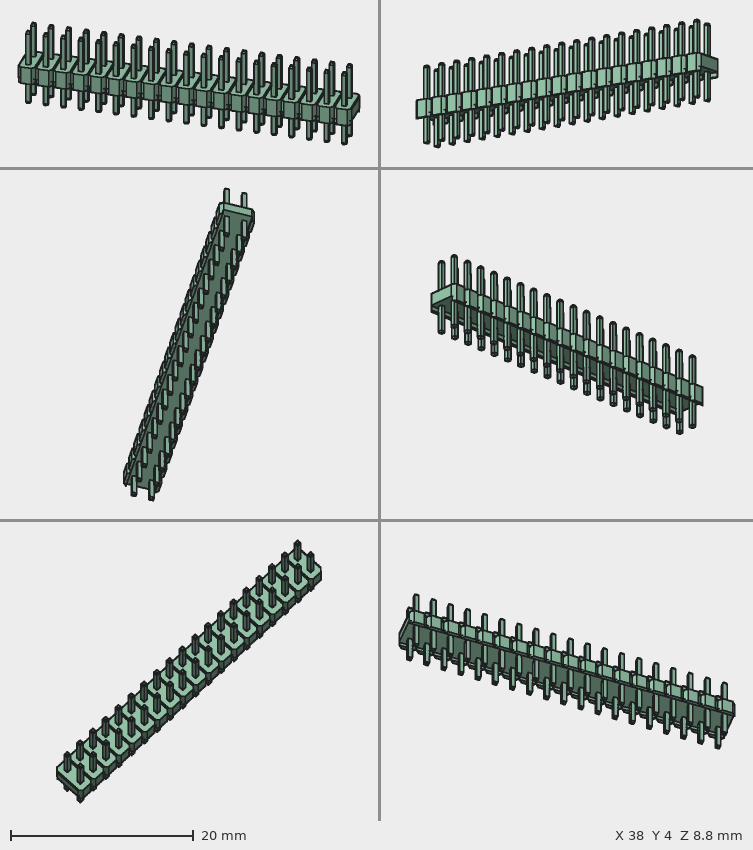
import cadquery as cq

pitch = 2.0
column_count = 19
row_count = 2

body_length = column_count * pitch
body_width = row_count * pitch
body_height = 2.0
corner_cut = 0.4
seam_cut = 0.1
skirt_thickness = 0.35
channel_depth = 0.5

pin_size = 0.5
pin_above_body = 4.0
pin_below_body = 2.8
pin_length = pin_below_body + body_height + pin_above_body
tip_inset = 0.1
tip_height = 0.25


def column_x(column):
    """X position of a pin column, with the columns centred on X = 0."""
    return (column - (column_count - 1) / 2) * pitch


def row_y(row):
    """Y position of a pin row, with the rows centred on Y = 0."""
    return (row - (row_count - 1) / 2) * pitch


def make_cell():
    """One body cell: an octagonal block with its two long top edges cut."""
    block = cq.Workplane("XY").box(pitch, body_width, body_height, centered=(True, True, False))
    block = block.edges("|Z").chamfer(corner_cut)
    return block.faces(">Z").edges("|Y").chamfer(seam_cut)


def make_body():
    """Row of joined cells with a channel along the whole underside."""
    cell = make_cell().val()
    cells = [cell.translate(cq.Vector(column_x(column), 0, 0)) for column in range(column_count)]
    body = cq.Workplane(cells[0].fuse(*cells[1:]).clean())
    channel_width = body_width - 2 * skirt_thickness
    channel = cq.Workplane("XY").box(
        body_length, channel_width, channel_depth, centered=(True, True, False)
    )
    return body.cut(channel)


def make_pin():
    """Square pin with both ends tapered to a smaller square."""
    pin = cq.Workplane("XY").workplane(offset=-pin_below_body).rect(pin_size, pin_size).extrude(pin_length)
    pin = pin.faces(">Z").chamfer(tip_height, tip_inset)
    return pin.faces("<Z").chamfer(tip_height, tip_inset)


def make_header():
    """Body with a pin through every grid position."""
    pin = make_pin().val()
    pins = []
    for column in range(column_count):
        for row in range(row_count):
            pins.append(pin.translate(cq.Vector(column_x(column), row_y(row), 0)))
    return cq.Workplane(make_body().val().fuse(*pins).clean())


result = make_header()